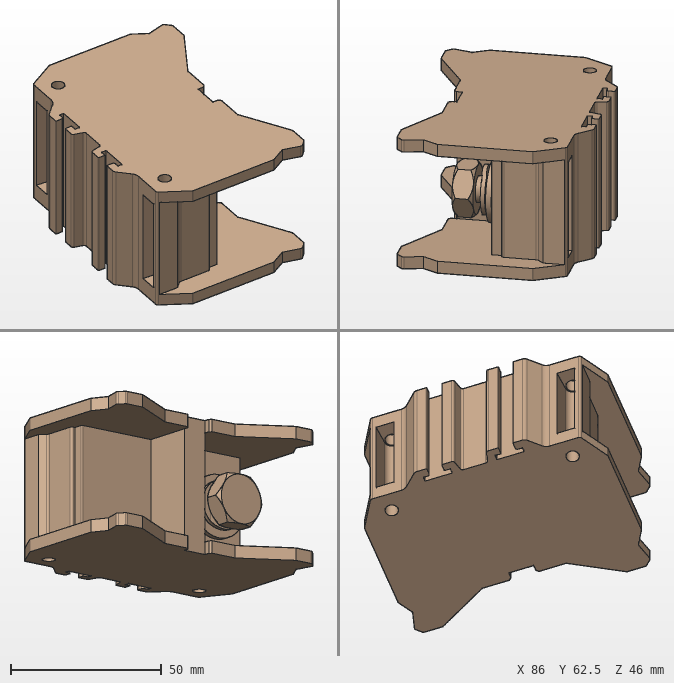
import cadquery as cq
import math


TOTAL_WIDTH = 86.0
TOTAL_DEPTH = 62.5
TOTAL_HEIGHT = 46.0
PLATE_THICKNESS = 4.3
CORE_HEIGHT = TOTAL_HEIGHT - 2 * PLATE_THICKNESS

HALF_WIDTH = TOTAL_WIDTH / 2
SLOPE_60 = math.tan(math.radians(60))
SLOPE_30 = math.tan(math.radians(30))
SLOPE_75 = math.tan(math.radians(75))

BASE_Y = 5.4
BASE_CORNER_X = 37.0
BASE_CORNER_RADIUS = 1.0
SIDE_BOTTOM_Y = BASE_Y + (HALF_WIDTH - BASE_CORNER_X) * SLOPE_60
SIDE_TOP_Y = 48.1
SIDE_CORNER_RADIUS = 0.5
WAIST_Y = 53.5
WAIST_X = HALF_WIDTH - (WAIST_Y - SIDE_TOP_Y) / SLOPE_60
EAR_TIP_Y = 60.2
EAR_TIP_X = WAIST_X + (EAR_TIP_Y - WAIST_Y) / SLOPE_75
EAR_TOP_X = EAR_TIP_X - (TOTAL_DEPTH - EAR_TIP_Y)
EAR_RADIUS = 1.0
EAR_INNER_X = 32.5
SADDLE_Y = 52.3
SADDLE_X = EAR_INNER_X - (TOTAL_DEPTH - SADDLE_Y) / SLOPE_30
NOTCH_HALF_WIDTH = 4.4
NOTCH_CHAMFER = 0.8
NOTCH_BOTTOM_Y = 49.45

SEAT_Y = 31.8
SEAT_HALF_WIDTH = 33.7
SEAT_EDGE_RADIUS = 0.4
SHOULDER_HALF_WIDTH = 35.15
SHOULDER_Y = 28.1
SHOULDER_RADIUS = 0.9
CORE_HALF_WIDTH = 37.5
FLARE_BOTTOM_Y = 13.4
FLARE_TOP_Y = FLARE_BOTTOM_Y + CORE_HALF_WIDTH - SHOULDER_HALF_WIDTH
FLARE_RADIUS = 1.3

OUTER_FOOT_X = 19.45
FLANK_TOP_X = OUTER_FOOT_X + BASE_Y
FLANK_TOP_RADIUS = 3.2
FLANK_BOTTOM_RADIUS = 2.0
OUTER_FOOT_INNER_X = 15.2
OUTER_HOOK_Y = 3.0
SLOT_OUTER_X = 17.5
SLOT_INNER_X = 7.9
SLOT_TOP_Y = 4.6
INNER_HOOK_Y = 2.8
INNER_FOOT_OUTER_X = 10.0
INNER_FOOT_BOTTOM_Y = 0.2
HOOK_RADIUS = 0.8
FOOT_EDGE_RADIUS = 0.3
CHANNEL_TOP_HALF_WIDTH = 4.6
CHANNEL_MOUTH_HALF_WIDTH = CHANNEL_TOP_HALF_WIDTH + (SLOT_TOP_Y - INNER_FOOT_BOTTOM_Y) / SLOPE_75
CHANNEL_RADIUS = 0.9

HOLE_X = 31.95
HOLE_Y = 12.0
HOLE_DIAMETER = 4.4
POCKET_END_RADIUS = 2.6
POCKET_DRAFT = math.radians(4.5)
POCKET_HEIGHT = 34.0

BOLT_X = -22.9
SHANK_DIAMETER = 9.0
SHANK_LENGTH = 20.0
HEAD_BASE_Y = 38.5
HEAD_HEIGHT = 7.1
HEAD_ACROSS_FLATS = 17.0
HEAD_CHAMFER_RADIUS = 8.45
FLAT_WASHER_DIAMETER = 21.7
FLAT_WASHER_THICKNESS = 1.9
SPRING_WASHER_DIAMETER = 16.9
SPRING_WASHER_THICKNESS = 1.5
SPRING_WASHER_RISE = 0.6
SPRING_WASHER_CROWN_WIDTH = 10.8
SPRING_WASHER_EDGE_Y = 34.5


def rounded_outline(corners):
    """Closed wire on XY through (x, y, radius) corners; radius 0 leaves a sharp corner."""
    count = len(corners)
    path = None
    for i, (x, y, radius) in enumerate(corners):
        corner = cq.Vector(x, y)
        to_previous = (cq.Vector(*corners[i - 1][:2]) - corner).normalized()
        to_next = (cq.Vector(*corners[(i + 1) % count][:2]) - corner).normalized()
        half_angle = to_previous.getAngle(to_next) / 2
        setback = radius / math.tan(half_angle)
        start = corner + to_previous * setback
        path = cq.Workplane("XY").moveTo(start.x, start.y) if path is None else path.lineTo(start.x, start.y)
        if radius:
            bisector = (to_previous + to_next).normalized()
            middle = corner + bisector * (radius / math.sin(half_angle) - radius)
            end = corner + to_next * setback
            path = path.threePointArc((middle.x, middle.y), (end.x, end.y))
    return path.close()


def centred(prism, height):
    """Move a prism that starts at Z = 0 so that it is centred on Z = 0."""
    return prism.translate((0, 0, -height / 2))


def symmetric_prism(right_half, height):
    """Prism centred on Z = 0 whose outline is the right half plus its mirror image in X."""
    left_half = [(-x, y, radius) for x, y, radius in reversed(right_half)]
    outline = rounded_outline(right_half + left_half)
    return centred(outline.extrude(height), height)


def ring(bottom_y, thickness, diameter):
    """Washer blank around the bolt axis, with the shank's diameter as its bore."""
    return (
        cq.Workplane("XZ", origin=(BOLT_X, bottom_y, 0))
        .circle(diameter / 2)
        .circle(SHANK_DIAMETER / 2)
        .extrude(-thickness)
    )


FEET = [
    (CHANNEL_TOP_HALF_WIDTH, SLOT_TOP_Y, CHANNEL_RADIUS),
    (CHANNEL_MOUTH_HALF_WIDTH, INNER_FOOT_BOTTOM_Y, CHANNEL_RADIUS),
    (INNER_FOOT_OUTER_X, INNER_FOOT_BOTTOM_Y, FOOT_EDGE_RADIUS),
    (INNER_FOOT_OUTER_X, INNER_HOOK_Y, 0),
    (SLOT_INNER_X, INNER_HOOK_Y, 0),
    (SLOT_INNER_X, SLOT_TOP_Y, 0),
    (SLOT_OUTER_X, SLOT_TOP_Y, 0),
    (SLOT_OUTER_X, OUTER_HOOK_Y, 0),
    (OUTER_FOOT_INNER_X, OUTER_HOOK_Y, HOOK_RADIUS),
    (OUTER_FOOT_INNER_X, 0, FOOT_EDGE_RADIUS),
    (OUTER_FOOT_X, 0, FLANK_BOTTOM_RADIUS),
    (FLANK_TOP_X, BASE_Y, FLANK_TOP_RADIUS),
    (BASE_CORNER_X, BASE_Y, BASE_CORNER_RADIUS),
]

PLATE_UPPER = [
    (HALF_WIDTH, SIDE_BOTTOM_Y, SIDE_CORNER_RADIUS),
    (HALF_WIDTH, SIDE_TOP_Y, 0),
    (WAIST_X, WAIST_Y, 0),
    (EAR_TIP_X, EAR_TIP_Y, EAR_RADIUS),
    (EAR_TOP_X, TOTAL_DEPTH, EAR_RADIUS),
    (EAR_INNER_X, TOTAL_DEPTH, 0),
    (SADDLE_X, SADDLE_Y, 0),
    (NOTCH_HALF_WIDTH + NOTCH_CHAMFER, SADDLE_Y, 0),
    (NOTCH_HALF_WIDTH, SADDLE_Y - NOTCH_CHAMFER, 0),
    (NOTCH_HALF_WIDTH, NOTCH_BOTTOM_Y, 0),
]

CORE_UPPER = [
    (CORE_HALF_WIDTH, FLARE_BOTTOM_Y, 0),
    (SHOULDER_HALF_WIDTH, FLARE_TOP_Y, FLARE_RADIUS),
    (SHOULDER_HALF_WIDTH, SHOULDER_Y, SHOULDER_RADIUS),
    (SEAT_HALF_WIDTH, SHOULDER_Y, 0),
    (SEAT_HALF_WIDTH, SEAT_Y, SEAT_EDGE_RADIUS),
    (NOTCH_HALF_WIDTH, SEAT_Y, 0),
    (NOTCH_HALF_WIDTH, NOTCH_BOTTOM_Y, 0),
]


def make_pocket(hole_x):
    """U-shaped pocket around a corner hole, widening towards its mouth in the underside."""
    tangent_x = POCKET_END_RADIUS * math.cos(POCKET_DRAFT)
    tangent_y = HOLE_Y + POCKET_END_RADIUS * math.sin(POCKET_DRAFT)
    half_mouth = tangent_x + (tangent_y - BASE_Y) * math.tan(POCKET_DRAFT)
    outline = (
        cq.Workplane("XY", origin=(hole_x, 0, 0))
        .moveTo(-half_mouth, BASE_Y)
        .lineTo(-tangent_x, tangent_y)
        .threePointArc((0, HOLE_Y + POCKET_END_RADIUS), (tangent_x, tangent_y))
        .lineTo(half_mouth, BASE_Y)
        .close()
    )
    return centred(outline.extrude(POCKET_HEIGHT), POCKET_HEIGHT)


def make_housing():
    plate_profile = symmetric_prism(FEET + PLATE_UPPER, TOTAL_HEIGHT)
    core_base = [(CORE_HALF_WIDTH, 0, 0)]
    core_envelope = symmetric_prism(core_base + CORE_UPPER, CORE_HEIGHT)
    between_plates = cq.Workplane("XY").box(2 * TOTAL_WIDTH, 4 * TOTAL_DEPTH, CORE_HEIGHT)
    housing = plate_profile.cut(between_plates.cut(core_envelope))

    for side in (-1, 1):
        hole_x = side * HOLE_X
        hole = cq.Workplane("XY").center(hole_x, HOLE_Y).circle(HOLE_DIAMETER / 2)
        housing = housing.cut(centred(hole.extrude(TOTAL_HEIGHT), TOTAL_HEIGHT))
        housing = housing.cut(make_pocket(hole_x))

    shank_hole = cq.Workplane("XZ", origin=(BOLT_X, HEAD_BASE_Y, 0)).circle(SHANK_DIAMETER / 2)
    return housing.cut(shank_hole.extrude(SHANK_LENGTH))


def make_bolt():
    corner_radius = HEAD_ACROSS_FLATS / math.sqrt(3)
    chamfer_drop = corner_radius - HEAD_CHAMFER_RADIUS
    head = (
        cq.Workplane("XZ", origin=(BOLT_X, HEAD_BASE_Y, 0))
        .polygon(6, 2 * corner_radius)
        .extrude(-HEAD_HEIGHT)
    )
    chamfer_envelope = (
        cq.Workplane("XY", origin=(BOLT_X, HEAD_BASE_Y, 0))
        .polyline([
            (0, 0),
            (HEAD_CHAMFER_RADIUS, 0),
            (corner_radius, chamfer_drop),
            (corner_radius, HEAD_HEIGHT - chamfer_drop),
            (HEAD_CHAMFER_RADIUS, HEAD_HEIGHT),
            (0, HEAD_HEIGHT),
        ])
        .close()
        .revolve(360, (0, 0), (0, 1))
    )
    shank = (
        cq.Workplane("XZ", origin=(BOLT_X, HEAD_BASE_Y, 0))
        .circle(SHANK_DIAMETER / 2)
        .extrude(SHANK_LENGTH)
    )
    return head.intersect(chamfer_envelope).union(shank)


def make_flat_washer():
    return ring(SEAT_Y, FLAT_WASHER_THICKNESS, FLAT_WASHER_DIAMETER)


def make_spring_washer():
    """Ring arched across its middle, with the crown towards the bolt head and flat ends along X."""
    half_span = SPRING_WASHER_DIAMETER / 2
    half_crown = SPRING_WASHER_CROWN_WIDTH / 2
    top = SPRING_WASHER_THICKNESS
    bent_strip = (
        cq.Workplane("XY", origin=(BOLT_X, SPRING_WASHER_EDGE_Y, 0))
        .moveTo(-half_span, 0)
        .lineTo(-half_crown, 0)
        .threePointArc((0, SPRING_WASHER_RISE), (half_crown, 0))
        .lineTo(half_span, 0)
        .lineTo(half_span, top)
        .lineTo(half_crown, top)
        .threePointArc((0, top + SPRING_WASHER_RISE), (-half_crown, top))
        .lineTo(-half_span, top)
        .close()
        .extrude(SPRING_WASHER_DIAMETER)
    )
    bent_strip = centred(bent_strip, SPRING_WASHER_DIAMETER)
    blank = ring(SPRING_WASHER_EDGE_Y, top + SPRING_WASHER_RISE, SPRING_WASHER_DIAMETER)
    return blank.intersect(bent_strip)


housing = make_housing()
bolt = make_bolt()
flat_washer = make_flat_washer()
spring_washer = make_spring_washer()

result = cq.Compound.makeCompound([
    housing.val(),
    bolt.val(),
    flat_washer.val(),
    spring_washer.val(),
])